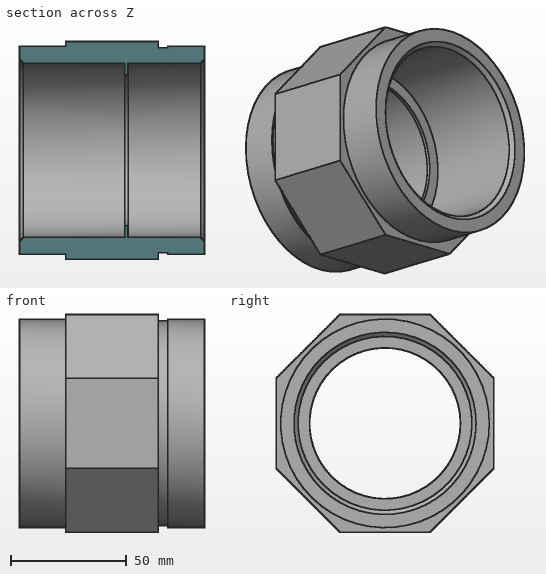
import cadquery as cq
import math

length = 80.0
collar_diameter = 90.0

octagon_sides = 8
octagon_across_flats = 94.0
octagon_start = 20.0
octagon_length = 40.0
octagon_end = octagon_start + octagon_length

groove_width = 4.0
groove_diameter = 88.6

bore_diameter = 65.0
socket_diameter = 75.0
left_socket_depth = 45.5
right_socket_depth = 33.0
mouth_diameter = 78.6
mouth_chamfer = (mouth_diameter - socket_diameter) / 2


def cylinder(diameter, start, depth):
    """Solid cylinder about X, running from start towards +X."""
    return cq.Workplane("YZ", origin=(start, 0, 0)).circle(diameter / 2).extrude(depth)


def make_octagon():
    """Octagonal prism with flats facing +-Y and +-Z."""
    across_corners = octagon_across_flats / math.cos(math.pi / octagon_sides)
    half_side_angle = 180 / octagon_sides
    return (
        cq.Workplane("YZ", origin=(octagon_start, 0, 0))
        .transformed(rotate=(0, 0, half_side_angle))
        .polygon(octagon_sides, across_corners)
        .extrude(octagon_length)
    )


def make_body():
    """Left collar, octagon, groove and right collar."""
    groove_end = octagon_end + groove_width
    left_collar = cylinder(collar_diameter, 0, octagon_start)
    groove = cylinder(groove_diameter, octagon_end, groove_width)
    right_collar = cylinder(collar_diameter, groove_end, length - groove_end)
    return left_collar.union(make_octagon()).union(groove).union(right_collar)


def make_bore():
    """Through passage: a chamfered socket at each end, meeting a narrow bore."""
    bore_radius = bore_diameter / 2
    socket_radius = socket_diameter / 2
    mouth_radius = mouth_diameter / 2
    left_shoulder = left_socket_depth
    right_shoulder = length - right_socket_depth
    half_section = [
        (0, 0),
        (0, mouth_radius),
        (mouth_chamfer, socket_radius),
        (left_shoulder, socket_radius),
        (left_shoulder, bore_radius),
        (right_shoulder, bore_radius),
        (right_shoulder, socket_radius),
        (length - mouth_chamfer, socket_radius),
        (length, mouth_radius),
        (length, 0),
    ]
    axis_start = (0, 0, 0)
    axis_end = (1, 0, 0)
    return cq.Workplane("XY").polyline(half_section).close().revolve(360, axis_start, axis_end)


result = make_body().cut(make_bore())